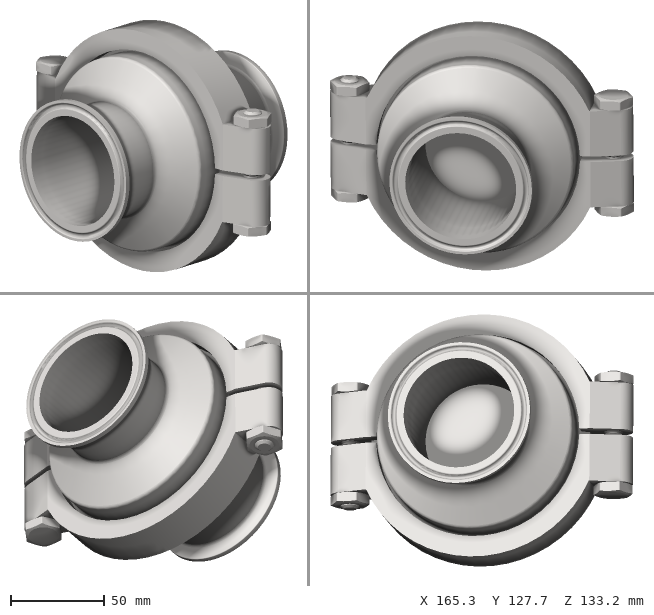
import cadquery as cq
import math


length = 127.7
ferrule_diameter = 77.5
ferrule_rim_width = 2.8
tube_diameter = 63.6
bore_diameter = 60.3
body_diameter = 106.8
shoulder_y = 21.3
body_cone_angle = 30
flange_diameter = 119.5
flange_rim_width = 6.3
ferrule_angle = 20
partition_thickness = flange_rim_width

shoulder_fillet = 2.3
neck_fillet = 2.0
ferrule_root_fillet = 1.7
flange_root_fillet = 1.5
ferrule_rim_fillet = 0.5

gasket_groove_diameter = 71
gasket_groove_section_radius = 1.3
gasket_groove_lip_fillet = 0.7

arrow_tip_y = 54.7
arrow_length = 13.0
arrow_head_length = 5.0
arrow_head_width = 5.6
arrow_stem_width = 2.8
arrow_depth = 0.2

clamp_diameter = 133.2
clamp_bore_diameter = 110.7
clamp_width = 23.3
clamp_gap = 3.1
clamp_tilt = 0.45
lug_start_x = 61.0
lug_height = 54.5
lug_end_radius = 7.5
bolt_x = 71.7
lug_end_x = 74.9

bolt_diameter = 10.0
thread_pitch = 1.5
thread_depth = 0.7
hex_across_flats = 18.7
hex_height = 6.0
hex_face_diameter = 15.9
hex_chamfer_angle = 15
hex_corner_fillet = 0.8
tip_length = 1.7
tip_face_diameter = 7.1
tip_chamfer_height = 1.2

half_length = length / 2
ferrule_radius = ferrule_diameter / 2
tube_radius = tube_diameter / 2
body_radius = body_diameter / 2
flange_radius = flange_diameter / 2
back_slope = math.tan(math.radians(ferrule_angle))
neck_y = shoulder_y + (body_radius - tube_radius) * math.tan(math.radians(body_cone_angle))
ferrule_rim_y = half_length - ferrule_rim_width
ferrule_root_y = ferrule_rim_y - (ferrule_radius - tube_radius) * back_slope
flange_rim_y = flange_rim_width / 2
flange_root_y = flange_rim_y + (flange_radius - body_radius) * back_slope


def revolve_about_y(points):
    """Turn a profile of (y, radius) points about the Y axis."""
    return cq.Workplane("YZ").polyline(points).close().revolve(360, (0, 0, 0), (1, 0, 0))


def mirrored_profile(half_points):
    """Complete a profile, given for positive y, with its mirror image at negative y."""
    return [(-y, r) for y, r in reversed(half_points)] + half_points


def fillet_rings(part, radius, ring_radius, ring_y):
    """Round the circular edges of one radius found at both +ring_y and -ring_y."""
    tolerance = 0.002
    rings = [
        edge for edge in part.edges("%CIRCLE").vals()
        if abs(edge.radius() - ring_radius) < tolerance
        and abs(abs(edge.Center().y) - ring_y) < tolerance
    ]
    return part.newObject(rings).fillet(radius)


def make_arrow_cutter():
    """Cutter for a shallow flow arrow in the tube, pointing to +Y and following its curve."""
    head_y = arrow_tip_y - arrow_head_length
    tail_y = arrow_tip_y - arrow_length
    right_side = [
        (arrow_head_width / 2, head_y),
        (arrow_stem_width / 2, head_y),
        (arrow_stem_width / 2, tail_y),
    ]
    left_side = [(-x, y) for x, y in reversed(right_side)]
    outline = [(0, arrow_tip_y)] + right_side + left_side
    prism = cq.Workplane("XY").polyline(outline).close().extrude(tube_diameter)
    groove_floor = cq.Workplane("XZ").circle(tube_radius - arrow_depth).extrude(-half_length)
    return prism.cut(groove_floor)


def make_housing():
    """Turned housing with a blind bore and a gasket groove at each end."""
    housing = revolve_about_y(mirrored_profile([
        (flange_rim_y, flange_radius),
        (flange_root_y, body_radius),
        (shoulder_y, body_radius),
        (neck_y, tube_radius),
        (ferrule_root_y, tube_radius),
        (ferrule_rim_y, ferrule_radius),
        (half_length, ferrule_radius),
        (half_length, 0),
    ]))
    housing = fillet_rings(housing, flange_root_fillet, body_radius, flange_root_y)
    housing = fillet_rings(housing, shoulder_fillet, body_radius, shoulder_y)
    housing = fillet_rings(housing, neck_fillet, tube_radius, neck_y)
    housing = fillet_rings(housing, ferrule_root_fillet, tube_radius, ferrule_root_y)
    housing = fillet_rings(housing, ferrule_rim_fillet, ferrule_radius, ferrule_rim_y)

    bore_depth = half_length - partition_thickness / 2
    groove_radius = gasket_groove_diameter / 2
    for side in (-1, 1):
        end = cq.Vector(0, side * half_length, 0)
        inward = cq.Vector(0, -side, 0)
        housing = housing.cut(cq.Workplane(cq.Solid.makeCylinder(bore_diameter / 2, bore_depth, end, inward)))
        groove = cq.Solid.makeTorus(groove_radius, gasket_groove_section_radius, end, inward)
        housing = housing.cut(cq.Workplane(groove))
    for lip_offset in (-gasket_groove_section_radius, gasket_groove_section_radius):
        housing = fillet_rings(housing, gasket_groove_lip_fillet, groove_radius + lip_offset, half_length)
    return housing.cut(make_arrow_cutter())


def make_lug(side):
    """Lug for the bolt on one side: tapers from the full clamp width to a round end."""
    half_width = clamp_width / 2
    reach = lug_end_x - lug_start_x
    to_corner = math.hypot(reach, half_width)
    tangent_angle = math.pi - math.atan2(half_width, reach) - math.acos(lug_end_radius / to_corner)
    tangent_x = lug_end_x + lug_end_radius * math.cos(tangent_angle)
    tangent_y = lug_end_radius * math.sin(tangent_angle)
    inner_x = (clamp_bore_diameter / 2 + lug_start_x) / 2
    return (
        cq.Workplane("XY").workplane(offset=-lug_height / 2)
        .moveTo(side * inner_x, -half_width)
        .lineTo(side * lug_start_x, -half_width)
        .lineTo(side * tangent_x, -tangent_y)
        .threePointArc((side * (lug_end_x + lug_end_radius), 0), (side * tangent_x, tangent_y))
        .lineTo(side * lug_start_x, half_width)
        .lineTo(side * inner_x, half_width)
        .close()
        .extrude(lug_height)
    )


def make_hex():
    """Hexagon for a bolt head or nut, standing on z = 0, corners chamfered at both ends."""
    corner_radius = hex_across_flats / math.sqrt(3)
    face_radius = hex_face_diameter / 2
    chamfer_height = (corner_radius - face_radius) * math.tan(math.radians(hex_chamfer_angle))
    envelope = (
        cq.Workplane("XZ")
        .polyline([
            (0, 0),
            (face_radius, 0),
            (corner_radius, chamfer_height),
            (corner_radius, hex_height - chamfer_height),
            (face_radius, hex_height),
            (0, hex_height),
        ])
        .close()
        .revolve(360, (0, 0, 0), (0, 1, 0))
    )
    prism = cq.Workplane("XY").polygon(6, 2 * corner_radius).extrude(hex_height)
    return prism.edges("|Z").fillet(hex_corner_fillet).intersect(envelope)


def make_bolt():
    """Bolt centred on the Z axis with its head at the top and its nut at the bottom."""
    radius = bolt_diameter / 2
    seat_z = lug_height / 2
    tip_z = -seat_z - hex_height - tip_length
    shank = (
        cq.Workplane("XZ")
        .polyline([
            (0, seat_z),
            (radius, seat_z),
            (radius, tip_z + tip_chamfer_height),
            (tip_face_diameter / 2, tip_z),
            (0, tip_z),
        ])
        .close()
        .revolve(360, (0, 0, 0), (0, 1, 0))
    )
    for groove_z in (-thread_pitch / 2, thread_pitch / 2):
        groove = (
            cq.Workplane("XZ")
            .polyline([
                (radius, groove_z - thread_pitch / 2),
                (radius, groove_z + thread_pitch / 2),
                (radius - thread_depth, groove_z),
            ])
            .close()
            .revolve(360, (0, 0, 0), (0, 1, 0))
        )
        shank = shank.cut(groove)
    head = make_hex().translate((0, 0, seat_z))
    nut = make_hex().translate((0, 0, -seat_z - hex_height))
    return shank.union(head).union(nut)


def make_clamp():
    """Clamp of two halves around the joint flange, joined into one solid by its two bolts."""
    clamp = cq.Workplane("XZ").circle(clamp_diameter / 2).extrude(clamp_width / 2, both=True)
    clamp = clamp.intersect(cq.Workplane("XY").box(2 * lug_start_x, clamp_width, clamp_diameter))
    for side in (-1, 1):
        clamp = clamp.union(make_lug(side))
    clamp = clamp.cut(cq.Workplane("XZ").circle(clamp_bore_diameter / 2).extrude(clamp_width, both=True))
    clamp = clamp.cut(revolve_about_y(mirrored_profile([
        (flange_rim_y, flange_radius),
        (flange_root_y, body_radius),
        (flange_root_y, 0),
    ])))
    clamp = clamp.cut(cq.Workplane("XY").box(2 * clamp_diameter, 2 * clamp_width, clamp_gap))
    left_bolt = make_bolt().translate((-bolt_x, 0, 0))
    right_bolt = make_bolt().rotate((0, 0, 0), (1, 0, 0), 180).translate((bolt_x, 0, 0))
    clamp = clamp.union(left_bolt).union(right_bolt)
    return clamp.rotate((0, 0, 0), (0, 1, 0), clamp_tilt)


housing = make_housing()
clamp = make_clamp()

result = cq.Compound.makeCompound([housing.val(), clamp.val()])